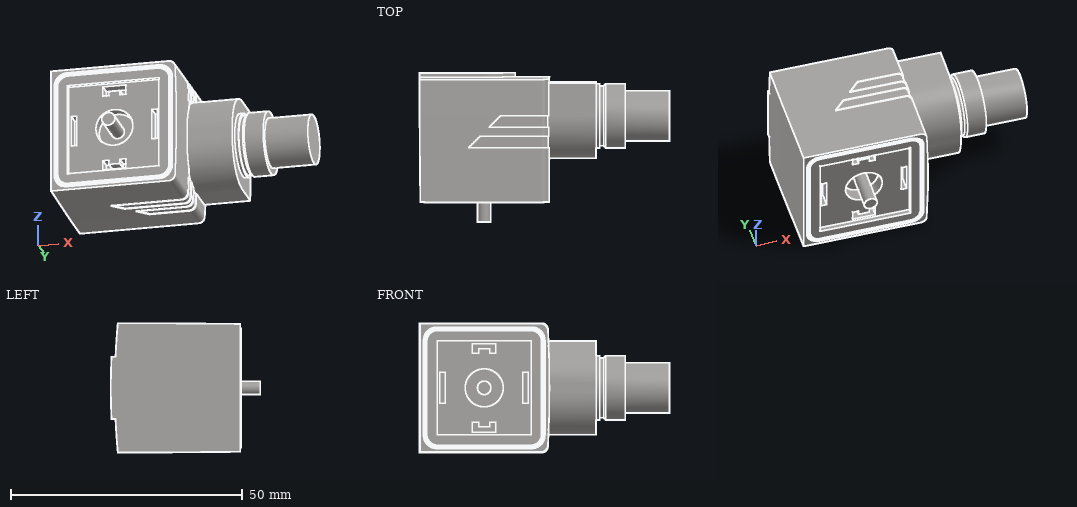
import cadquery as cq


half_width = 14.0
right_apex_x = 14.1
front_y = -18.65
back_apex_y = 8.5
back_crown_radius = 151.35
front_draft = 0.15
side_bulge = 0.4
corner_radius = 1.45

plate_half_width = 6.75
plate_apex_y = 9.35

recess_depth = 0.15
recess_height = 2.45
recess_pitch = 4.45
recess_start_x = 3.5

pocket_half_width = 10.15
pocket_depth = 1.1
cavity_depth = 3.1
pin_hole_radius = 4.1
pin_radius = 1.45
pin_tip_y = -22.95
side_slot_x = 8.95
side_slot_width = 1.2
side_slot_length = 6.75
u_slot_width = 5.1
u_slot_outer_z = 9.55
u_slot_inner_z = 7.45
u_notch_width = 2.45
u_notch_depth = 0.95

groove_half_width = 13.15
groove_width = 0.75
groove_depth = 0.55
bead_gap = 0.2
bead_height = 0.15
groove_corner_radius = 2.95

sleeve_half_height = 10.15
sleeve_corner_radius = 8.9
sleeve_shoulder_y = -0.25
sleeve_apex_y = 7.4
sleeve_end_x = 24.15
collar_end_x = 24.95
collar_radius = 6.95
neck_end_x = 25.8
neck_radius = 6.5
nut_radius = 6.95
nut_end_x = 30.5
cable_radius = 5.45
cable_end_x = 40.05

pocket_floor_y = front_y + pocket_depth
cavity_floor_y = pocket_floor_y + cavity_depth


def front_plane(y):
    """Sketch plane at the given Y whose positive normal is +Y; local y points to -Z."""
    return cq.Workplane(cq.Plane(origin=(0, y, 0), xDir=(1, 0, 0), normal=(0, 1, 0)))


def crowned_back(apex_y):
    """Long cylinder along X whose rearmost line lies at apex_y."""
    plane = cq.Plane(origin=(0, apex_y - back_crown_radius, 0), xDir=(0, 1, 0), normal=(1, 0, 0))
    return cq.Workplane(plane).circle(back_crown_radius).extrude(cable_end_x, both=True)


def make_housing(inset=0.0):
    """Drafted housing with a bowed right side, top, bottom and right moved inwards by inset."""
    half_height = half_width - inset
    right_x = right_apex_x - inset
    outline = (
        front_plane(front_y)
        .moveTo(-half_width, -half_height)
        .lineTo(right_x - side_bulge, -half_height)
        .threePointArc((right_x, 0), (right_x - side_bulge, half_height))
        .lineTo(-half_width, half_height)
        .close()
        .extrude(plate_apex_y - front_y)
    )
    front_half_height = half_height - front_draft
    drafted_heights = (
        cq.Workplane("YZ")
        .polyline([
            (front_y, -front_half_height),
            (0, -half_height),
            (plate_apex_y, -half_height),
            (plate_apex_y, half_height),
            (0, half_height),
            (front_y, front_half_height),
        ])
        .close()
        .extrude(2 * half_width, both=True)
    )
    drafted_left = (
        cq.Workplane("XY")
        .polyline([
            (-half_width + front_draft, front_y),
            (2 * half_width, front_y),
            (2 * half_width, plate_apex_y),
            (-half_width, plate_apex_y),
            (-half_width, 0),
        ])
        .close()
        .extrude(2 * half_width, both=True)
    )
    block = outline.intersect(drafted_heights).intersect(drafted_left)

    def is_right_corner(edge):
        center = edge.Center()
        return center.x > half_width / 2 and abs(center.z) > half_height / 2

    rounded = block.edges().filter(is_right_corner).fillet(corner_radius - inset)
    return rounded.intersect(crowned_back(back_apex_y))


def make_back_plate():
    """Crowned plate on the back, round at its right end about the pin axis."""
    bar = cq.Workplane("XY").box(half_width, plate_apex_y, 2 * plate_half_width, centered=(False, False, True))
    round_end = front_plane(0).circle(plate_half_width).extrude(plate_apex_y)
    return bar.translate((-half_width, 0, 0)).union(round_end).intersect(crowned_back(plate_apex_y))


def make_sleeve():
    """Sleeve with a square, crowned rear half and rounded front corners."""
    bottom_y = sleeve_shoulder_y - sleeve_corner_radius
    flat_half_width = sleeve_half_height - sleeve_corner_radius
    block = (
        cq.Workplane("YZ")
        .moveTo(sleeve_apex_y, -sleeve_half_height)
        .lineTo(sleeve_apex_y, sleeve_half_height)
        .lineTo(sleeve_shoulder_y, sleeve_half_height)
        .radiusArc((bottom_y, flat_half_width), -sleeve_corner_radius)
        .lineTo(bottom_y, -flat_half_width)
        .radiusArc((sleeve_shoulder_y, -sleeve_half_height), -sleeve_corner_radius)
        .close()
        .extrude(sleeve_end_x)
    )
    return block.intersect(crowned_back(sleeve_apex_y))


def make_outlet():
    """Collar, neck, chamfered nut and cable, turned about the X axis."""
    chamfer = nut_radius - neck_radius
    return (
        cq.Workplane("XY")
        .polyline([
            (0, 0),
            (0, collar_radius),
            (collar_end_x, collar_radius),
            (collar_end_x, neck_radius),
            (neck_end_x, neck_radius),
            (neck_end_x + chamfer, nut_radius),
            (nut_end_x, nut_radius),
            (nut_end_x, cable_radius),
            (cable_end_x, cable_radius),
            (cable_end_x, 0),
        ])
        .close()
        .revolve(360, (0, 0, 0), (1, 0, 0))
    )


def make_recesses():
    """Two shallow bands with 45 degree ends, wrapped over the top, right side and bottom."""
    bands = cq.Workplane("XY")
    for index in range(2):
        upper_y = -index * recess_pitch
        start_x = recess_start_x - index * recess_pitch
        band = (
            cq.Workplane("XY")
            .polyline([
                (start_x, upper_y),
                (2 * half_width, upper_y),
                (2 * half_width, upper_y - recess_height),
                (start_x - recess_height, upper_y - recess_height),
            ])
            .close()
            .extrude(2 * half_width, both=True)
        )
        bands = bands.add(band)
    return bands.combine().cut(make_housing(recess_depth))


def square_ring(outer_half, width, corner, start_y, length):
    """Square ring with rounded corners around the pin axis."""
    def rounded_block(half, radius):
        block = front_plane(start_y).rect(2 * half, 2 * half).extrude(length)
        return block.edges("|Y").fillet(radius)

    return rounded_block(outer_half, corner).cut(rounded_block(outer_half - width, corner - width))


def make_contact_openings():
    """Side slots, and U-shaped slots whose notch faces the pin."""
    depth = cavity_floor_y - front_y
    openings = (
        front_plane(front_y)
        .pushPoints([(-side_slot_x, 0), (side_slot_x, 0)])
        .rect(side_slot_width, side_slot_length)
        .extrude(depth)
    )
    half_slot = u_slot_width / 2
    half_notch = u_notch_width / 2
    notch_z = u_slot_inner_z + u_notch_depth
    for side in (-1, 1):
        u_slot = (
            front_plane(front_y)
            .polyline([
                (-half_slot, side * u_slot_outer_z),
                (half_slot, side * u_slot_outer_z),
                (half_slot, side * u_slot_inner_z),
                (half_notch, side * u_slot_inner_z),
                (half_notch, side * notch_z),
                (-half_notch, side * notch_z),
                (-half_notch, side * u_slot_inner_z),
                (-half_slot, side * u_slot_inner_z),
            ])
            .close()
            .extrude(depth)
        )
        openings = openings.union(u_slot)
    return openings


pocket = front_plane(front_y).rect(2 * pocket_half_width, 2 * pocket_half_width).extrude(pocket_depth)
pin_hole = front_plane(front_y).circle(pin_hole_radius).extrude(cavity_floor_y - front_y)
pin = front_plane(pin_tip_y).circle(pin_radius).extrude(cavity_floor_y - pin_tip_y)

seal_groove = square_ring(groove_half_width, groove_width, groove_corner_radius, front_y, groove_depth)
seal_bead = square_ring(
    groove_half_width - bead_gap,
    groove_width - 2 * bead_gap,
    groove_corner_radius - bead_gap,
    front_y - bead_height,
    groove_depth + bead_height,
)

result = (
    make_housing()
    .cut(make_recesses())
    .union(make_back_plate())
    .union(make_sleeve())
    .union(make_outlet())
    .cut(pocket)
    .cut(make_contact_openings())
    .cut(pin_hole)
    .union(pin)
    .cut(seal_groove)
    .union(seal_bead)
)